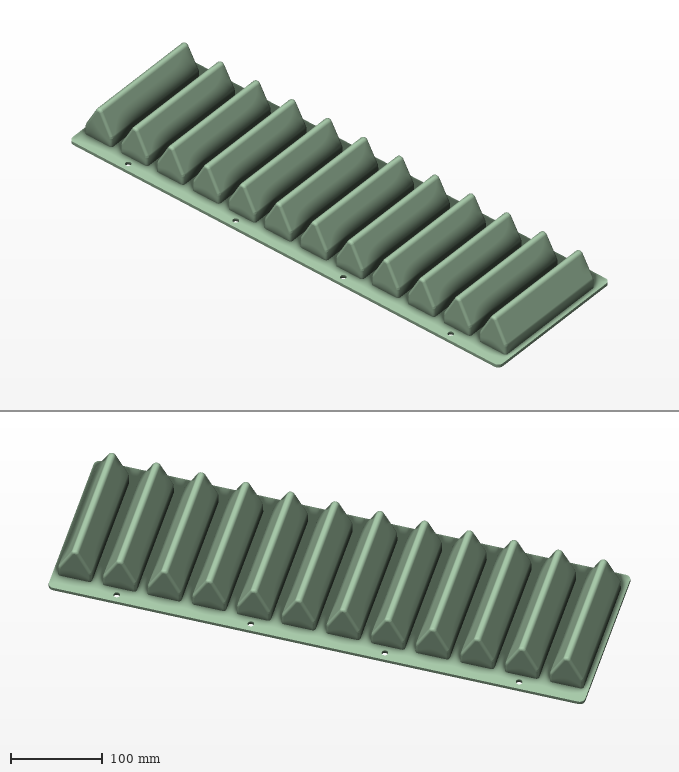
import cadquery as cq
import math

ridge_count = 12
ridge_pitch = 50.8
plate_length = ridge_count * ridge_pitch
plate_width = 190.5
plate_thickness = 4.0
plate_corner_radius = 6.35

overall_height = 47.57
ridge_base_width = 38.7
ridge_base_length = 152.4
wall_draft = 1.0
roof_angle = 62.25
crest_radius = 4.7625
eave_radius = 6.35
end_radius = 3.175

hole_diameter = 7.14
hole_edge_distance = 9.525
hole_first_ridge = 1
hole_ridge_step = 3

roof_slope = math.tan(math.radians(roof_angle))
crest_drop = crest_radius * (1 / math.cos(math.radians(roof_angle)) - 1)
apex_z = overall_height + crest_drop

draft_slope = math.tan(math.radians(wall_draft))
roof_half_span = (apex_z - plate_thickness) / roof_slope
eave_rise = (roof_half_span - ridge_base_width / 2) / (1 / roof_slope - draft_slope)
eave_z = plate_thickness + eave_rise


def ridge_x(index):
    """X position of the centre of a ridge."""
    return (index - (ridge_count - 1) / 2) * ridge_pitch


def make_plate():
    return (
        cq.Workplane("XY")
        .rect(plate_length, plate_width)
        .extrude(plate_thickness)
        .edges("|Z")
        .fillet(plate_corner_radius)
    )


def make_ridge():
    """One ridge centred on the origin: a drafted block trimmed by a roof-shaped prism, then rounded."""
    block = (
        cq.Workplane("XY", origin=(0, 0, plate_thickness))
        .rect(ridge_base_width, ridge_base_length)
        .extrude(apex_z - plate_thickness, taper=wall_draft)
    )
    roof = (
        cq.Workplane("XZ")
        .moveTo(-roof_half_span, plate_thickness)
        .lineTo(roof_half_span, plate_thickness)
        .lineTo(0, apex_z)
        .close()
        .extrude(ridge_base_length, both=True)
    )
    ridge = block.intersect(roof)
    ridge = ridge.edges("|Y and >Z").fillet(crest_radius)
    for side in (-1, 1):
        eave_point = (side * (apex_z - eave_z) / roof_slope, 0, eave_z)
        ridge = ridge.edges(cq.selectors.NearestToPointSelector(eave_point)).fillet(eave_radius)
    return ridge.faces("<Y or >Y").edges("not <Z").fillet(end_radius)


def cut_holes(body):
    hole_y = plate_width / 2 - hole_edge_distance
    points = []
    for index in range(hole_first_ridge, ridge_count, hole_ridge_step):
        points.append((ridge_x(index), hole_y))
        points.append((ridge_x(index), -hole_y))
    holes = cq.Workplane("XY").pushPoints(points).circle(hole_diameter / 2).extrude(plate_thickness)
    return body.cut(holes)


result = cut_holes(make_plate())
ridge = make_ridge()
for ridge_index in range(ridge_count):
    result = result.union(ridge.translate((ridge_x(ridge_index), 0, 0)))